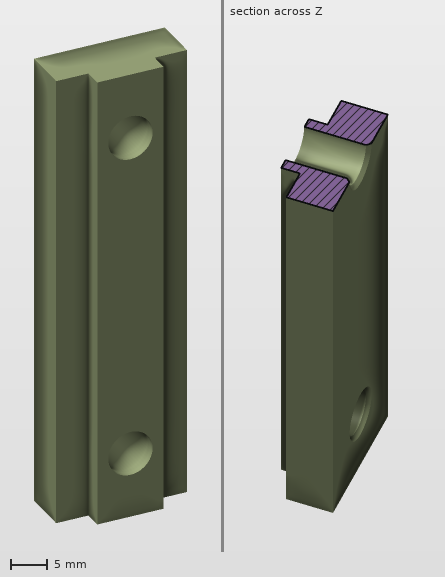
import cadquery as cq

length = 70.0
width = 20.0
plate_thickness = 7.0
tongue_height = 2.8
tongue_width = 10.15
hole_diameter = 6.8
countersink_diameter = 8.0
hole_spacing = 50.0

total_thickness = plate_thickness + tongue_height
countersink_depth = (countersink_diameter - hole_diameter) / 2


def block(thickness, block_width):
    """Full-length block, centred on Y and Z, rising from the plate face at X = 0."""
    return cq.Workplane("XY").box(thickness, block_width, length, centered=(False, True, True))


def countersunk_hole(z):
    """Cutter for a through hole along X with a conical entry at the plate face."""
    drill = cq.Solid.makeCylinder(
        hole_diameter / 2, total_thickness, cq.Vector(0, 0, z), cq.Vector(1, 0, 0)
    )
    cone = cq.Solid.makeCone(
        countersink_diameter / 2,
        hole_diameter / 2,
        countersink_depth,
        cq.Vector(0, 0, z),
        cq.Vector(1, 0, 0),
    )
    return drill.fuse(cone)


result = block(plate_thickness, width).union(block(total_thickness, tongue_width))

for hole_z in (-hole_spacing / 2, hole_spacing / 2):
    result = result.cut(cq.Workplane(obj=countersunk_hole(hole_z)))